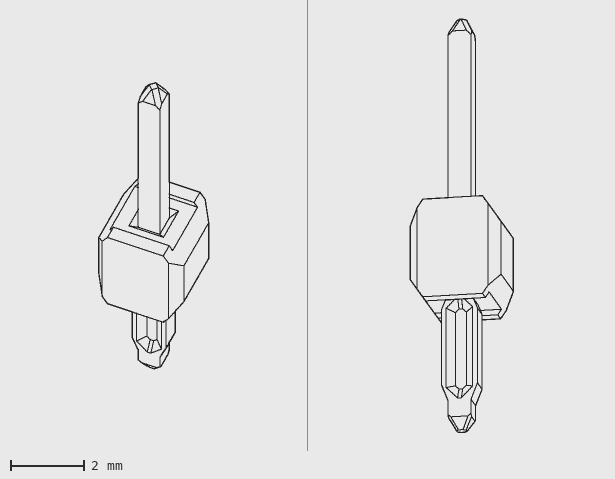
import cadquery as cq

HOUSING_X = 2.54
HOUSING_Y = 2.5
HOUSING_Z = 2.78
END_FACE_Y = 1.7
END_FACE_Z = 1.51
SIDE_FACE_X = 1.98
TOP_FACE_X = 1.66
CHANNEL_DEPTH = 0.15
POCKET_WIDTH = 1.03
POCKET_DEPTH = 0.18

PIN_WIDTH = 0.64
PIN_TOP = 6.8
PIN_BOTTOM = PIN_TOP - 11.7
TIP_WIDTH = 0.27
UPPER_TIP_LENGTH = 0.39
LOWER_TIP_LENGTH = 0.33
UPPER_BEVEL_BASE = 0.51
UPPER_BEVEL_END = 0.14
LOWER_BEVEL_BASE = 0.56
LOWER_BEVEL_END = 0.2

PRESS_WIDTH = 1.01
PRESS_TOP = -1.52
PRESS_BOTTOM = -3.65
PRESS_TAPER = 0.46

FLUTE_DEPTH = 0.2
FLUTE_MOUTH_WIDTH = 0.74
FLUTE_FLOOR_WIDTH = 0.3
FLUTE_APEX_WIDTH = 0.1
FLUTE_MOUTH_TOP = -1.47
FLUTE_MOUTH_BOTTOM = -3.73
FLUTE_FLOOR_TOP = -1.56
FLUTE_FLOOR_BOTTOM = -3.64


def octagon(plane, width, height, flat_width, flat_height, depth):
    """Rectangular bar with bevelled corners, centred on the origin."""
    x, y = width / 2, height / 2
    flat_x, flat_y = flat_width / 2, flat_height / 2
    points = [
        (flat_x, y), (x, flat_y), (x, -flat_y), (flat_x, -y),
        (-flat_x, -y), (-x, -flat_y), (-x, flat_y), (-flat_x, y),
    ]
    return cq.Workplane(plane).polyline(points).close().extrude(depth / 2, both=True)


def square_taper(z_start, width_start, z_end, width_end, turn=0):
    """Square frustum between two heights, turned about Z."""
    return (
        cq.Workplane("XY", origin=(0, 0, z_start))
        .transformed(rotate=(0, 0, turn))
        .rect(width_start, width_start)
        .workplane(offset=z_end - z_start)
        .rect(width_end, width_end)
        .loft(ruled=True)
    )


def pin_tip(z_base, z_end, bevel_base, bevel_end):
    """Pyramid tip whose corner bevels run on into the corners of the shank."""
    length = z_end - z_base
    bevel_slope = (bevel_end - bevel_base) / length
    z_start = z_base + (PIN_WIDTH - bevel_base) / bevel_slope
    shank = cq.Workplane("XY", origin=(0, 0, z_start)).rect(PIN_WIDTH, PIN_WIDTH).extrude(z_base - z_start)
    pyramid = square_taper(z_base, PIN_WIDTH, z_end, TIP_WIDTH)
    bevels = square_taper(z_start, PIN_WIDTH * 2**0.5, z_end, bevel_end * 2**0.5, turn=45)
    return z_start, shank.union(pyramid).intersect(bevels)


def make_pin_blank():
    """Pin with pointed ends and a widened press-fit section, before fluting."""
    upper_start, upper_tip = pin_tip(
        PIN_TOP - UPPER_TIP_LENGTH, PIN_TOP, UPPER_BEVEL_BASE, UPPER_BEVEL_END
    )
    lower_start, lower_tip = pin_tip(
        PIN_BOTTOM + LOWER_TIP_LENGTH, PIN_BOTTOM, LOWER_BEVEL_BASE, LOWER_BEVEL_END
    )
    shank = (
        cq.Workplane("XY", origin=(0, 0, lower_start))
        .rect(PIN_WIDTH, PIN_WIDTH)
        .extrude(upper_start - lower_start)
    )
    narrow, wide = PIN_WIDTH / 2, PRESS_WIDTH / 2
    press_section = (
        cq.Workplane("XZ")
        .polyline([
            (narrow, PRESS_TOP + PRESS_TAPER), (wide, PRESS_TOP),
            (wide, PRESS_BOTTOM), (narrow, PRESS_BOTTOM - PRESS_TAPER),
            (-narrow, PRESS_BOTTOM - PRESS_TAPER), (-wide, PRESS_BOTTOM),
            (-wide, PRESS_TOP), (-narrow, PRESS_TOP + PRESS_TAPER),
        ])
        .close()
        .extrude(PIN_WIDTH / 2, both=True)
    )
    return shank.union(press_section).union(upper_tip).union(lower_tip)


def flute_outline(width, top, bottom):
    """Long outline with blunt 45 degree points at both ends."""
    side, apex = width / 2, FLUTE_APEX_WIDTH / 2
    point = side - apex
    return [
        (side, top), (apex, top + point), (-apex, top + point), (-side, top),
        (-side, bottom), (-apex, bottom - point), (apex, bottom - point), (side, bottom),
    ]


def make_flute():
    """Cutter for the -Y flute, narrowing towards its floor."""
    return (
        cq.Workplane("XZ", origin=(0, -PIN_WIDTH / 2, 0))
        .polyline(flute_outline(FLUTE_MOUTH_WIDTH, FLUTE_MOUTH_TOP, FLUTE_MOUTH_BOTTOM))
        .close()
        .workplane(offset=-FLUTE_DEPTH)
        .polyline(flute_outline(FLUTE_FLOOR_WIDTH, FLUTE_FLOOR_TOP, FLUTE_FLOOR_BOTTOM))
        .close()
        .loft(ruled=True)
    )


def make_pin(blank):
    front_flute = make_flute()
    back_flute = front_flute.mirror("XZ")
    return blank.cut(front_flute).cut(back_flute)


def make_housing(pin_blank):
    """Bevelled block with end channels, a lead-in pocket and a hole fitting the pin."""
    front_shape = octagon("XZ", HOUSING_X, HOUSING_Z, TOP_FACE_X, END_FACE_Z, HOUSING_Y)
    plan_shape = octagon("XY", HOUSING_X, HOUSING_Y, SIDE_FACE_X, END_FACE_Y, HOUSING_Z)
    housing = front_shape.intersect(plan_shape)

    channel_floor = HOUSING_Z / 2 - CHANNEL_DEPTH
    for side in (1, -1):
        channel = cq.Workplane("XY").box(HOUSING_X, END_FACE_Y, 2 * CHANNEL_DEPTH)
        housing = housing.cut(channel.translate((0, 0, side * HOUSING_Z / 2)))

    pocket = square_taper(channel_floor, POCKET_WIDTH, channel_floor - POCKET_DEPTH, PIN_WIDTH)
    return housing.cut(pocket).cut(pin_blank)


pin_blank = make_pin_blank()
pin = make_pin(pin_blank)
housing = make_housing(pin_blank)

result = cq.Compound.makeCompound([housing.solids().val(), pin.solids().val()])